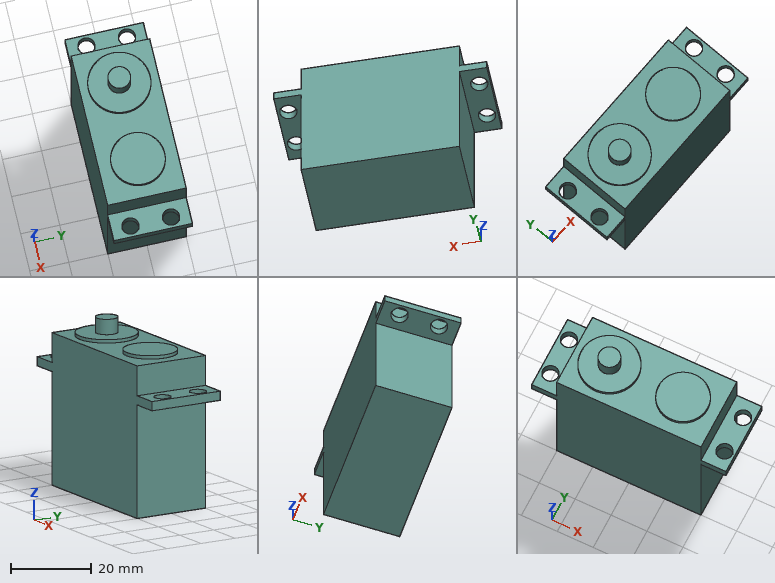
import cadquery as cq

body_length = 40.2
width = 20.1
body_height = 39.3

flange_length = 54.1
flange_bottom = 29.2
flange_thickness = 2.4
hole_diameter = 4.3
hole_spacing_x = 48.5
hole_spacing_y = 10.4

disc_height = 0.85
output_disc_diameter = 15.8
output_x = -10.4
gear_cover_diameter = 13.7
gear_cover_x = 10.1
shaft_diameter = 5.7
overall_height = 44.1


def top_cylinder(x, diameter, height):
    """Upright cylinder standing on the top face of the housing."""
    base = cq.Workplane("XY", origin=(x, 0, body_height))
    return base.circle(diameter / 2).extrude(height)


body = cq.Workplane("XY").rect(body_length, width).extrude(body_height)

flange = (
    cq.Workplane("XY", origin=(0, 0, flange_bottom))
    .rect(flange_length, width)
    .extrude(flange_thickness)
    .faces(">Z")
    .workplane()
    .rect(hole_spacing_x, hole_spacing_y, forConstruction=True)
    .vertices()
    .hole(hole_diameter)
)

output_disc = top_cylinder(output_x, output_disc_diameter, disc_height)
gear_cover = top_cylinder(gear_cover_x, gear_cover_diameter, disc_height)
shaft = top_cylinder(output_x, shaft_diameter, overall_height - body_height)

result = body.union(flange).union(output_disc).union(gear_cover).union(shaft)